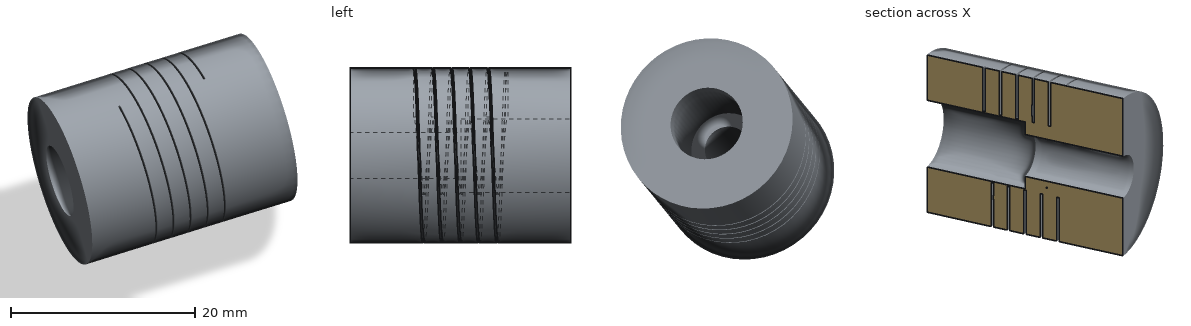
import cadquery as cq

length = 24.0
outer_diameter = 19.0
small_bore_diameter = 5.0
large_bore_diameter = 8.0
large_bore_depth = length / 2

slit_span = 10.0
slit_turns = 5
slit_width = 0.25
slit_depth = 5.28
slit_start_angle = -1.4
slit_overrun = 0.48

axis_frame = cq.Plane(origin=(0, -length / 2, 0), xDir=(0, 0, 1), normal=(0, 1, 0))


def make_body():
    """Plain cylinder with the stepped bore, its large end at the start of the axis."""
    body = cq.Workplane("XY").circle(outer_diameter / 2).extrude(length)
    small_bore = cq.Workplane("XY").circle(small_bore_diameter / 2).extrude(length)
    large_bore = cq.Workplane("XY").circle(large_bore_diameter / 2).extrude(large_bore_depth)
    return body.cut(small_bore).cut(large_bore)


def make_slit():
    """Right-handed helical slit cutter, centred along the length."""
    inner_radius = outer_diameter / 2 - slit_depth
    outer_radius = outer_diameter / 2 + slit_overrun
    middle_radius = (inner_radius + outer_radius) / 2
    helix = cq.Wire.makeHelix(slit_span / slit_turns, slit_span, middle_radius)
    slit = (
        cq.Workplane("XZ")
        .center(middle_radius, 0)
        .rect(outer_radius - inner_radius, slit_width)
        .sweep(cq.Workplane(obj=helix), isFrenet=True)
    )
    slit = slit.rotate((0, 0, 0), (0, 0, 1), slit_start_angle)
    return slit.translate((0, 0, (length - slit_span) / 2))


coupling = make_body().cut(make_slit())
result = cq.Workplane(obj=coupling.val().moved(cq.Location(axis_frame)))